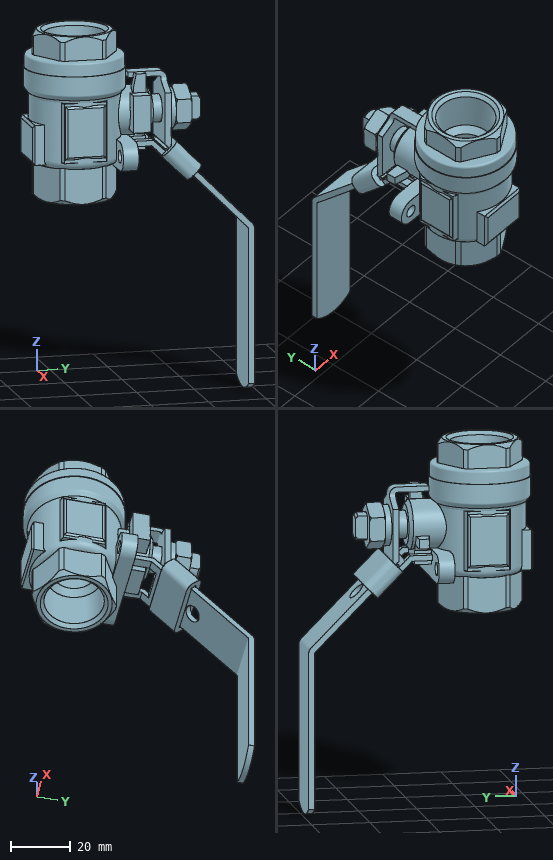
import cadquery as cq
import math


HALF_LENGTH = 58.0 / 2
HEX_APOTHEM = 13.0
HEX_CORNER_RADIUS = 14.5
HEX_FACE_RADIUS = 12.8
BORE_RADIUS = 15.0 / 2
SOCKET_DEPTH = 13.8
SOCKET_MOUTH_RADIUS = 11.4
SOCKET_TOP_RADIUS = 10.2
SOCKET_END_RADIUS = 9.7

CAP_RADIUS = 34.0 / 2
CAP_TOP = 20.8
CAP_ROUND = 0.9
COLLAR_RADIUS = 34.5 / 2
COLLAR_TOP = 16.1
COLLAR_BOTTOM = 9.5
COLLAR_ROUND = 0.9
NECK_RADIUS = 15.9
NECK_TOP = 7.6
SHELL_RADIUS = 15.6
SHELL_TOP = 6.6
SHELL_BOTTOM = -14.0
SHELL_ROUND = 2.8

FLAT_X = 15.4
FLAT_HALF_WIDTH = 7.2
FLAT_ROOT_X = 13.3
FLAT_ROOT_HALF_WIDTH = 8.0
SIDE_PAD_X = 15.9
SIDE_PAD_WIDTH = 2 * FLAT_HALF_WIDTH
SIDE_PAD_TOP = 5.8
SIDE_PAD_BOTTOM = -13.0
BACK_PAD_REACH = 16.6
BACK_PAD_WIDTH = 18.3
BACK_PAD_TOP = -1.7
BACK_PAD_BOTTOM = -15.5
PAD_BEVEL_DEPTH = 0.6
PAD_BEVEL_WIDTH = 1.0

EAR_FRONT = 12.2
EAR_BACK = 17.7
EAR_RADIUS = 10.0 / 2
EAR_SPAN = 38.5
EAR_Z = -12.8
EAR_HOLE = 4.3

STEM_FLAT_X = 2.7
BOSS_RADIUS = 17.0 / 2
BOSS_END = 25.7
BOSS_BEVEL = 1.3
BOSS_END_RADIUS = 7.0
STOP_BACK = 23.4
BAR_REACH = 13.5
BAR_NEAR = STEM_FLAT_X
BAR_FAR = 6.0
BAR_TIP_Y = 20.0
BAR_ROOT_Y = 18.9
ARM_REACH = 13.0
ARM_START = 8.1
ARM_FRONT = 17.3
ARM_HALF_WIDTH = 5.3
SIDE_ARM_TOP = 7.5
RAMP_RISE = 1.3

STEM_RADIUS = 9.5 / 2
STEM_END = 43.2
STEM_BEVEL = 0.8
WASHER_RADIUS = 14.0 / 2
WASHER_THICKNESS = 2.2
NUT_FLATS = 14.0
NUT_HEIGHT = 5.5
NUT_BEVEL = 0.5

PLATE = 2.2
LEVER_WIDTH = 17.4
SHOULDER_Y = 29.3
WASHER_SEAT_Y = SHOULDER_Y + PLATE
LEVER_BACK_Y = 60.5
OVERALL_HEIGHT = 127.0
LEVER_BOTTOM = HALF_LENGTH - OVERALL_HEIGHT
LEVER_END_SAG = 2.9
SLOPE_SUM = 18.5
LEVER_HOLE = 6.0
LEVER_HOLE_Y = 42.4
UPRIGHT_SIDE_TOP = 7.0
UPRIGHT_NECK_Z = 10.2
NECK_FILLET = 1.9
TAB_TIP_Y = 17.9
TAB_TOP = 13.5
TAB_THICKNESS = 1.9
TAB_BEND = 0.5
GRIP_BEND = 0.8
FORK_TOP = -9.1
FORK_SLOPE_SUM = 16.4
FORK_SLOT_HALF_WIDTH = 5.6
FORK_SLOT_END = 27.0
SLEEVE_LENGTH = 12.3
SLEEVE_WIDTH = 22.9
SLEEVE_HEIGHT = 7.1
SLEEVE_ROUND = 2.7
SLEEVE_SLOT_WIDTH = 18.3
SLEEVE_Y = 34.9


def box(x0, x1, y0, y1, z0, z1):
    return cq.Workplane("XY").box(x1 - x0, y1 - y0, z1 - z0, centered=False).translate((x0, y0, z0))


def turned(points):
    """Solid of revolution about Z from (radius, z) points."""
    return cq.Workplane("XZ").polyline(points).close().revolve(360, (0, 0, 0), (0, 1, 0))


def rod(radius, y0, y1):
    """Round bar along the stem axis."""
    return cq.Workplane("XZ").circle(radius).extrude(-(y1 - y0)).translate((0, y0, 0))


def side_profile(points, width):
    """Prism from (y, z) points, centred on X = 0."""
    return cq.Workplane("YZ").polyline(points).close().extrude(width / 2, both=True)


def hexagon_ends():
    corner_to_corner = 2 * HEX_APOTHEM / math.cos(math.pi / 6)
    prism = cq.Workplane("XY").polygon(6, corner_to_corner).extrude(HALF_LENGTH, both=True)
    prism = prism.rotate((0, 0, 0), (0, 0, 1), 30)
    bevel = HEX_CORNER_RADIUS - HEX_FACE_RADIUS
    envelope = cq.Workplane("XY").circle(HEX_CORNER_RADIUS).extrude(HALF_LENGTH, both=True)
    envelope = envelope.faces("|Z").chamfer(bevel)
    return prism.intersect(envelope)


def housing_shell():
    cap_edge = CAP_RADIUS - CAP_ROUND
    quarter = math.sqrt(0.5)
    round_radius = SHELL_RADIUS - SHELL_ROUND
    return (
        cq.Workplane("XZ")
        .moveTo(0, CAP_TOP)
        .lineTo(cap_edge, CAP_TOP)
        .threePointArc(
            (cap_edge + CAP_ROUND * quarter, CAP_TOP - CAP_ROUND * (1 - quarter)),
            (CAP_RADIUS, CAP_TOP - CAP_ROUND),
        )
        .lineTo(CAP_RADIUS, COLLAR_TOP)
        .lineTo(COLLAR_RADIUS, COLLAR_TOP)
        .lineTo(COLLAR_RADIUS, COLLAR_BOTTOM)
        .tangentArcPoint(
            (COLLAR_RADIUS - COLLAR_ROUND * (1 - quarter), COLLAR_BOTTOM - COLLAR_ROUND * quarter),
            relative=False,
        )
        .lineTo(NECK_RADIUS, NECK_TOP)
        .lineTo(SHELL_RADIUS, SHELL_TOP)
        .lineTo(SHELL_RADIUS, SHELL_BOTTOM)
        .threePointArc(
            (round_radius + SHELL_ROUND * quarter, SHELL_BOTTOM - SHELL_ROUND * quarter),
            (round_radius, SHELL_BOTTOM - SHELL_ROUND),
        )
        .lineTo(0, SHELL_BOTTOM - SHELL_ROUND)
        .close()
        .revolve(360, (0, 0, 0), (0, 1, 0))
    )


def raised_pad(width, bottom, top, reach):
    """Rectangular pad from the Z axis out to y = -reach, with a bevelled face."""
    sketch = cq.Workplane("XZ").center(0, (top + bottom) / 2).rect(width, top - bottom)
    bevel_angle = math.degrees(math.atan2(PAD_BEVEL_WIDTH, PAD_BEVEL_DEPTH))
    base_reach = reach - PAD_BEVEL_DEPTH
    face = cq.Workplane("XZ", origin=(0, -base_reach, 0)).center(0, (top + bottom) / 2)
    face = face.rect(width, top - bottom).extrude(PAD_BEVEL_DEPTH, taper=bevel_angle)
    return sketch.extrude(base_reach).union(face)


def pads():
    corners = [
        (FLAT_X, FLAT_HALF_WIDTH),
        (FLAT_ROOT_X, FLAT_ROOT_HALF_WIDTH),
        (-FLAT_ROOT_X, FLAT_ROOT_HALF_WIDTH),
        (-FLAT_X, FLAT_HALF_WIDTH),
    ]
    corners += [(-x, -y) for x, y in corners]
    flats = cq.Workplane("XY").polyline(corners).close().extrude(SHELL_TOP - SHELL_BOTTOM)
    flats = flats.translate((0, 0, SHELL_BOTTOM))
    side = raised_pad(SIDE_PAD_WIDTH, SIDE_PAD_BOTTOM, SIDE_PAD_TOP, SIDE_PAD_X)
    pads_on_shell = flats.union(raised_pad(BACK_PAD_WIDTH, BACK_PAD_BOTTOM, BACK_PAD_TOP, BACK_PAD_REACH))
    for angle in (-90, 90):
        pads_on_shell = pads_on_shell.union(side.rotate((0, 0, 0), (0, 0, 1), angle))
    return pads_on_shell


def ears():
    ear_x = EAR_SPAN / 2 - EAR_RADIUS
    return (
        cq.Workplane("XZ")
        .center(0, EAR_Z)
        .slot2D(EAR_SPAN, 2 * EAR_RADIUS)
        .pushPoints([(-ear_x, 0), (ear_x, 0)])
        .circle(EAR_HOLE / 2)
        .extrude(-(EAR_BACK - EAR_FRONT))
        .translate((0, EAR_FRONT, 0))
    )


def boss():
    end_cone = cq.Solid.makeCone(
        BOSS_RADIUS, BOSS_END_RADIUS, BOSS_BEVEL,
        cq.Vector(0, BOSS_END - BOSS_BEVEL, 0), cq.Vector(0, 1, 0),
    )
    return rod(BOSS_RADIUS, 0, BOSS_END - BOSS_BEVEL).union(cq.Workplane(end_cone))


def stop_bars():
    """Two tapered bars at right angles: one points up, the other to -X."""
    outline = [(STOP_BACK, 0), (STOP_BACK, BAR_REACH), (BAR_TIP_Y, BAR_REACH), (BAR_ROOT_Y, BOSS_RADIUS)]
    outline.append((BAR_ROOT_Y, 0))
    up = cq.Workplane("YZ").polyline(outline).close().extrude(BAR_FAR - BAR_NEAR)
    up = up.translate((BAR_NEAR, 0, 0))
    left = up.mirror("XY").rotate((0, 0, 0), (0, 1, 0), 90)
    return up.union(left)


def stop_ramp(points):
    """Ramp from (x, z) points, as deep along Y as the root of a stop bar."""
    prism = cq.Workplane("XZ").polyline(points).close().extrude(-(STOP_BACK - BAR_ROOT_Y))
    return prism.translate((0, BAR_ROOT_Y, 0))


def stop_arms():
    """Two flat arms beside the boss, towards -Z and +X, each with a ramp leading to a stop bar."""
    down = box(-ARM_HALF_WIDTH, ARM_HALF_WIDTH, ARM_FRONT, STOP_BACK, -ARM_REACH, -ARM_START)
    across = box(0, ARM_REACH, ARM_FRONT, STOP_BACK, -ARM_HALF_WIDTH, 0)
    across = across.union(box(ARM_START, ARM_REACH, ARM_FRONT, STOP_BACK, 0, SIDE_ARM_TOP))
    down_ramp = stop_ramp([
        (0, -ARM_START),
        (-ARM_HALF_WIDTH, -ARM_START),
        (-ARM_HALF_WIDTH - RAMP_RISE, -BAR_FAR),
        (0, -BAR_FAR),
    ])
    across_ramp = stop_ramp([
        (ARM_START, 0),
        (ARM_START, SIDE_ARM_TOP),
        (BAR_FAR, SIDE_ARM_TOP - RAMP_RISE),
        (BAR_FAR, 0),
    ])
    return down.union(across).union(down_ramp).union(across_ramp)


def stem_core():
    """Stem above its shoulder: a round bar with two flats."""
    bar = rod(STEM_RADIUS, SHOULDER_Y, STEM_END).faces(">Y").chamfer(STEM_BEVEL)
    slab = box(-STEM_FLAT_X, STEM_FLAT_X, SHOULDER_Y, STEM_END, -STEM_RADIUS, STEM_RADIUS)
    return bar.intersect(slab)


def stem_parts():
    nut_start = WASHER_SEAT_Y + WASHER_THICKNESS
    nut_radius = NUT_FLATS / 2 / math.cos(math.pi / 6)
    nut = cq.Workplane("XZ").polygon(6, 2 * nut_radius).extrude(-NUT_HEIGHT)
    nut = nut.rotate((0, 0, 0), (0, 1, 0), 30).translate((0, nut_start, 0))
    nut = nut.intersect(rod(nut_radius, nut_start, nut_start + NUT_HEIGHT).faces("|Y").chamfer(NUT_BEVEL))
    washer = rod(WASHER_RADIUS, WASHER_SEAT_Y, nut_start)
    return rod(STEM_RADIUS, 0, SHOULDER_Y).union(stem_core()).union(washer).union(nut)


def passage():
    """Straight bore with a tapered, countersunk socket in each end."""
    socket_end = HALF_LENGTH - SOCKET_DEPTH
    top = turned([
        (0, HALF_LENGTH),
        (SOCKET_MOUTH_RADIUS, HALF_LENGTH),
        (SOCKET_TOP_RADIUS, HALF_LENGTH - (SOCKET_MOUTH_RADIUS - SOCKET_TOP_RADIUS)),
        (SOCKET_END_RADIUS, socket_end),
        (BORE_RADIUS, socket_end - (SOCKET_END_RADIUS - BORE_RADIUS)),
        (0, socket_end - (SOCKET_END_RADIUS - BORE_RADIUS)),
    ])
    bore = cq.Workplane("XY").circle(BORE_RADIUS).extrude(HALF_LENGTH, both=True)
    return bore.union(top).union(top.mirror("XY"))


def make_valve():
    valve = hexagon_ends()
    for feature in (housing_shell(), pads(), ears(), boss(), stop_bars(), stop_arms(), stem_parts()):
        valve = valve.union(feature)
    return valve.cut(passage())


def rounded_bend(plate, corner, radius):
    """Fillet the edge across a bent plate that passes through the (y, z) corner."""
    return plate.edges(cq.selectors.NearestToPointSelector((0, *corner))).fillet(radius)


def upright_and_tab():
    tab_bottom = TAB_TOP - TAB_THICKNESS
    foot = SLOPE_SUM - SHOULDER_Y
    bent = side_profile([
        (SHOULDER_Y, foot),
        (SHOULDER_Y, tab_bottom),
        (TAB_TIP_Y, tab_bottom),
        (TAB_TIP_Y, TAB_TOP),
        (WASHER_SEAT_Y, TAB_TOP),
        (WASHER_SEAT_Y, foot - PLATE),
    ], LEVER_WIDTH)
    bent = rounded_bend(bent, (WASHER_SEAT_Y, TAB_TOP), TAB_BEND + PLATE)
    bent = rounded_bend(bent, (SHOULDER_Y, tab_bottom), TAB_BEND)
    half = LEVER_WIDTH / 2
    outline = cq.Workplane("XZ").polyline([
        (-half, foot - PLATE),
        (half, foot - PLATE),
        (half, UPRIGHT_SIDE_TOP),
        (STEM_FLAT_X, UPRIGHT_NECK_Z),
        (STEM_FLAT_X, TAB_TOP),
        (-STEM_FLAT_X, TAB_TOP),
        (-STEM_FLAT_X, UPRIGHT_NECK_Z),
        (-half, UPRIGHT_SIDE_TOP),
    ]).close().extrude(-WASHER_SEAT_Y)
    for neck_x in (-STEM_FLAT_X, STEM_FLAT_X):
        neck_edge = cq.selectors.NearestToPointSelector((neck_x, WASHER_SEAT_Y / 2, UPRIGHT_NECK_Z))
        outline = outline.edges(neck_edge).fillet(NECK_FILLET)
    return bent.intersect(outline)


def grip():
    """Sloping plate and the long hanging grip with its rounded end."""
    offset = PLATE / 2 * math.sqrt(2)
    front_y = LEVER_BACK_Y - PLATE
    upper = SLOPE_SUM + offset
    lower = SLOPE_SUM - offset
    plate = side_profile([
        (SHOULDER_Y, lower - SHOULDER_Y),
        (WASHER_SEAT_Y, upper - WASHER_SEAT_Y),
        (LEVER_BACK_Y, upper - LEVER_BACK_Y),
        (LEVER_BACK_Y, LEVER_BOTTOM),
        (front_y, LEVER_BOTTOM),
        (front_y, lower - front_y),
    ], LEVER_WIDTH)
    plate = rounded_bend(plate, (LEVER_BACK_Y, upper - LEVER_BACK_Y), GRIP_BEND + PLATE)
    plate = rounded_bend(plate, (front_y, lower - front_y), GRIP_BEND)
    half = LEVER_WIDTH / 2
    rounded = (
        cq.Workplane("XZ")
        .moveTo(-half, 0)
        .lineTo(-half, LEVER_BOTTOM + LEVER_END_SAG)
        .threePointArc((0, LEVER_BOTTOM), (half, LEVER_BOTTOM + LEVER_END_SAG))
        .lineTo(half, 0)
        .close()
        .extrude(-LEVER_BACK_Y)
    )
    hole = cq.Solid.makeCylinder(
        LEVER_HOLE / 2, 4 * PLATE,
        cq.Vector(0, LEVER_HOLE_Y + PLATE, upper - LEVER_HOLE_Y + PLATE), cq.Vector(0, -1, -1),
    )
    return plate.intersect(rounded).cut(cq.Workplane(hole))


def fork():
    """Lower plate that passes around the downward stop arm and joins the slope in the sleeve."""
    fork_bottom = FORK_TOP - TAB_THICKNESS
    lower = FORK_SLOPE_SUM - TAB_THICKNESS * math.sqrt(2)
    plate = side_profile([
        (TAB_TIP_Y, fork_bottom),
        (TAB_TIP_Y, FORK_TOP),
        (FORK_SLOPE_SUM - FORK_TOP, FORK_TOP),
        (SLEEVE_Y, FORK_SLOPE_SUM - SLEEVE_Y),
        (SLEEVE_Y, lower - SLEEVE_Y),
        (lower - fork_bottom, fork_bottom),
    ], LEVER_WIDTH)
    slot = box(-FORK_SLOT_HALF_WIDTH, FORK_SLOT_HALF_WIDTH, 0, FORK_SLOT_END, LEVER_BOTTOM, 0)
    return plate.cut(slot)


def sleeve():
    blank = cq.Workplane("XY").box(SLEEVE_WIDTH, SLEEVE_LENGTH, SLEEVE_HEIGHT)
    blank = blank.edges("|Y").fillet(SLEEVE_ROUND)
    blank = blank.cut(cq.Workplane("XY").box(SLEEVE_SLOT_WIDTH, SLEEVE_LENGTH, PLATE))
    return blank.rotate((0, 0, 0), (1, 0, 0), -45).translate((0, SLEEVE_Y, SLOPE_SUM - SLEEVE_Y))


def make_lever():
    lever = upright_and_tab().union(grip()).union(fork()).union(sleeve())
    return lever.cut(stem_core())


valve = make_valve()
lever = make_lever()
result = cq.Compound.makeCompound([valve.val(), lever.val()])